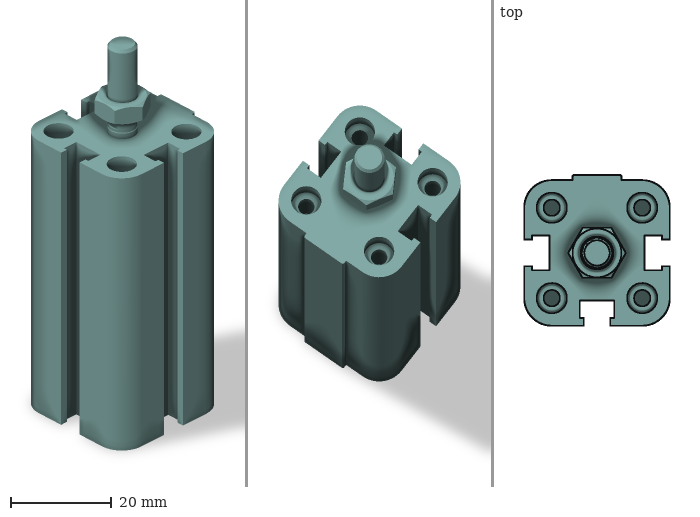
import cadquery as cq
import math


HOUSING_SIZE = 29.0
OVERALL_DEPTH = 30.0
HOUSING_HEIGHT = 63.05
CORNER_RADIUS = 5.5
RIB_WIDTH = 9.8
RIB_CHAMFER = 0.25

SLOT_MOUTH_WIDTH = 5.3
SLOT_INNER_WIDTH = 6.85
SLOT_LIP = 1.6
SLOT_DEPTH = 5.0
SLOT_ANGLES = (0, 180, 270)

HOLE_SPACING = 17.95
HOLE_DIAMETER = 3.25
HOLE_DEPTH = 12.6
COUNTERBORE_DIAMETER = 6.0
COUNTERBORE_DEPTH = 3.75

OVERALL_HEIGHT = 83.5
ROD_DIAMETER = 6.0
TIP_DIAMETER = 5.0
TIP_CHAMFER_HEIGHT = 0.7
NECK_DIAMETER = 5.8
NECK_BOTTOM = 64.3
FLATS_BOTTOM = 65.05
ACROSS_FLATS = 5.0

NUT_BOTTOM = 67.55
NUT_HEIGHT = 4.0
NUT_ACROSS_FLATS = 9.9
NUT_FACE_DIAMETER = 9.7
NUT_CHAMFER_ANGLE = 30.0
COUNTERSINK_DIAMETER = 6.5

NECK_STEP = (ROD_DIAMETER - NECK_DIAMETER) / 2
NECK_TOP = NUT_BOTTOM - 2 * NECK_STEP


def make_t_slot(angle):
    """T-slot cutter for the side of the housing that faces the given angle about Z (0 = +X)."""
    side = HOUSING_SIZE / 2
    mouth = cq.Workplane("XY").box(
        SLOT_DEPTH, SLOT_MOUTH_WIDTH, HOUSING_HEIGHT, centered=(False, True, False)
    )
    inner = cq.Workplane("XY").box(
        SLOT_DEPTH - SLOT_LIP, SLOT_INNER_WIDTH, HOUSING_HEIGHT, centered=(False, True, False)
    )
    slot = mouth.union(inner).translate((side - SLOT_DEPTH, 0, 0))
    return slot.rotate((0, 0, 0), (0, 0, 1), angle)


def make_housing():
    """Rounded square block with a rib on +Y, three T-slots and four counterbored holes."""
    block = (
        cq.Workplane("XY")
        .rect(HOUSING_SIZE, HOUSING_SIZE)
        .extrude(HOUSING_HEIGHT)
        .edges("|Z")
        .fillet(CORNER_RADIUS)
    )

    rib_outer_y = OVERALL_DEPTH - HOUSING_SIZE / 2
    rib = (
        cq.Workplane("XY")
        .box(RIB_WIDTH, rib_outer_y, HOUSING_HEIGHT, centered=(True, False, False))
        .edges("|Z and >Y")
        .chamfer(RIB_CHAMFER)
    )
    housing = block.union(rib)

    for angle in SLOT_ANGLES:
        housing = housing.cut(make_t_slot(angle))

    return (
        housing.faces(">Z")
        .workplane(origin=(0, 0, HOUSING_HEIGHT))
        .rect(HOLE_SPACING, HOLE_SPACING, forConstruction=True)
        .vertices()
        .cboreHole(HOLE_DIAMETER, COUNTERBORE_DIAMETER, COUNTERBORE_DEPTH, HOLE_DEPTH)
    )


def make_rod():
    """Turned rod on the housing end face, with a necked section that has two wrench flats."""
    rod_radius = ROD_DIAMETER / 2
    neck_radius = NECK_DIAMETER / 2
    tip_radius = TIP_DIAMETER / 2
    rod = (
        cq.Workplane("XZ")
        .moveTo(0, HOUSING_HEIGHT)
        .lineTo(rod_radius, HOUSING_HEIGHT)
        .lineTo(rod_radius, NECK_BOTTOM)
        .lineTo(neck_radius, NECK_BOTTOM + NECK_STEP)
        .lineTo(neck_radius, NECK_TOP)
        .lineTo(rod_radius, NECK_TOP + NECK_STEP)
        .lineTo(rod_radius, OVERALL_HEIGHT - TIP_CHAMFER_HEIGHT)
        .lineTo(tip_radius, OVERALL_HEIGHT)
        .lineTo(0, OVERALL_HEIGHT)
        .close()
        .revolve(360, (0, 0, 0), (0, 1, 0))
    )

    flats_height = NUT_BOTTOM - FLATS_BOTTOM
    flat_cutter = (
        cq.Workplane("XY", origin=(0, 0, FLATS_BOTTOM))
        .rect(2 * ROD_DIAMETER, 2 * ROD_DIAMETER)
        .rect(2 * ROD_DIAMETER, ACROSS_FLATS)
        .extrude(flats_height)
    )
    return rod.cut(flat_cutter)


def make_nut():
    """Hexagon nut chamfered on both faces, with a countersunk bore that fits the rod."""
    corner_diameter = NUT_ACROSS_FLATS / math.cos(math.pi / 6)
    corner_radius = corner_diameter / 2
    face_radius = NUT_FACE_DIAMETER / 2
    chamfer_height = (corner_radius - face_radius) * math.tan(math.radians(NUT_CHAMFER_ANGLE))
    hexagon = cq.Workplane("XY").polygon(6, corner_diameter).extrude(NUT_HEIGHT)
    chamfered_disc = (
        cq.Workplane("XZ")
        .lineTo(face_radius, 0)
        .lineTo(corner_radius, chamfer_height)
        .lineTo(corner_radius, NUT_HEIGHT - chamfer_height)
        .lineTo(face_radius, NUT_HEIGHT)
        .lineTo(0, NUT_HEIGHT)
        .close()
        .revolve(360, (0, 0, 0), (0, 1, 0))
    )

    bore_radius = ROD_DIAMETER / 2
    countersink_radius = COUNTERSINK_DIAMETER / 2
    countersink_depth = countersink_radius - bore_radius
    bore = (
        cq.Workplane("XZ")
        .lineTo(countersink_radius, 0)
        .lineTo(bore_radius, countersink_depth)
        .lineTo(bore_radius, NUT_HEIGHT - countersink_depth)
        .lineTo(countersink_radius, NUT_HEIGHT)
        .lineTo(0, NUT_HEIGHT)
        .close()
        .revolve(360, (0, 0, 0), (0, 1, 0))
    )
    return hexagon.intersect(chamfered_disc).cut(bore).translate((0, 0, NUT_BOTTOM))


housing = make_housing()
rod = make_rod()
nut = make_nut()

result = cq.Compound.makeCompound([housing.val(), rod.val(), nut.val()])